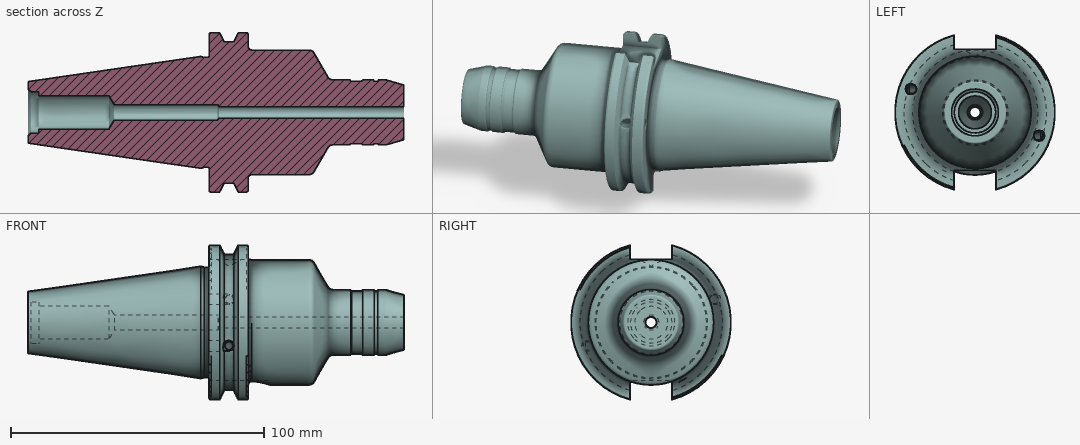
import cadquery as cq
import math


gauge_dia = 44.45
taper_ratio = 7 / 24
taper_length = 68.4
taper_end_round = 0.6
relief_dia = 43.6
relief_slope_length = 1.3
relief_root_radius = 0.5

flange_dia = 63.26
flange_start = 3.2
flange_end = 18.75
flange_edge_radius = 0.8
groove_dia = 56.25
groove_center = 11.1
groove_floor_width = 3.75
groove_wall_angle = 27

body_dia = 49.5
body_end = 42.6
body_root_radius = 1.3
shoulder_angle = 60
shoulder_round = 2.5
shoulder_root_radius = 2.0

nose_dia = 26.0
nose_groove_dia = 25.0
wide_groove_start = 59.15
wide_groove_end = 63.9
narrow_groove_start = 68.5
narrow_groove_end = 69.95
nose_groove_radius = 0.5
nose_taper_start = 72.9
nose_taper_angle = 16
nose_end = 80.35
nose_end_round = 0.8

bore_mouth_dia = 18.5
bore_mouth_depth = 1.2
pilot_dia = 16.3
pilot_depth = 4.3
thread_bore_dia = 13.0
thread_bore_depth = 32.0
drill_point_angle = 118
middle_bore_dia = 6.0
middle_bore_depth = 75.0
through_dia = 4.3

slot_width = 16.4
top_slot_floor = 25.0
bottom_slot_floor = 22.8
slot_end = 27.4
dimple_dia = 9.53
dimple_point_angle = 120

coolant_angle = 20
coolant_circle_radius = 27.0
coolant_dia = 4.2
coolant_depth = 8.0
set_screw_dia = 4.0
set_screw_tip_dia = 3.24
set_screw_step_y = 25.9
set_screw_bottom_y = 23.2

shank_end = -taper_length
nose_radius = nose_dia / 2
body_radius = body_dia / 2
flange_radius = flange_dia / 2


def revolve_about_x(profile):
    return profile.close().revolve(360, (0, 0, 0), (1, 0, 0))


def make_shank():
    small_radius = gauge_dia / 2 - taper_length * taper_ratio / 2
    relief_radius = relief_dia / 2
    root = relief_root_radius
    profile = (
        cq.Workplane("XY")
        .moveTo(shank_end, 0)
        .lineTo(shank_end, small_radius - taper_end_round)
        .radiusArc(
            (shank_end + taper_end_round, small_radius + taper_end_round * taper_ratio / 2),
            taper_end_round,
        )
        .lineTo(0, gauge_dia / 2)
        .lineTo(relief_slope_length, relief_radius)
        .lineTo(flange_start - root, relief_radius)
        .radiusArc((flange_start, relief_radius + root), -root)
        .lineTo(flange_start, 0)
    )
    return revolve_about_x(profile)


def make_flange():
    edge = flange_edge_radius
    groove_radius = groove_dia / 2
    half_floor = groove_floor_width / 2
    wall_run = (flange_radius - groove_radius) * math.tan(math.radians(groove_wall_angle))
    half_mouth = half_floor + wall_run
    profile = (
        cq.Workplane("XY")
        .moveTo(flange_start, 0)
        .lineTo(flange_start, flange_radius - edge)
        .radiusArc((flange_start + edge, flange_radius), edge)
        .lineTo(groove_center - half_mouth, flange_radius)
        .lineTo(groove_center - half_floor, groove_radius)
        .lineTo(groove_center + half_floor, groove_radius)
        .lineTo(groove_center + half_mouth, flange_radius)
        .lineTo(flange_end - edge, flange_radius)
        .radiusArc((flange_end, flange_radius - edge), edge)
        .lineTo(flange_end, 0)
    )
    return revolve_about_x(profile)


def make_body():
    slope = math.radians(shoulder_angle)
    round_run = shoulder_round * math.sin(slope)
    round_drop = shoulder_round * (1 - math.cos(slope))
    root_run = shoulder_root_radius * math.sin(slope)
    root_drop = shoulder_root_radius * (1 - math.cos(slope))
    cone_top = body_radius - round_drop
    cone_foot = nose_radius + root_drop
    cone_start = body_end + round_run
    cone_end = cone_start + (cone_top - cone_foot) / math.tan(slope)
    neck_start = cone_end + root_run

    taper_angle = math.radians(nose_taper_angle)
    tip_radius = nose_radius - (nose_end - nose_taper_start) * math.tan(taper_angle)
    root = body_root_radius
    profile = (
        cq.Workplane("XY")
        .moveTo(flange_end, 0)
        .lineTo(flange_end, body_radius + root)
        .radiusArc((flange_end + root, body_radius), -root)
        .lineTo(body_end, body_radius)
        .radiusArc((cone_start, cone_top), shoulder_round)
        .lineTo(cone_end, cone_foot)
        .radiusArc((neck_start, nose_radius), -shoulder_root_radius)
        .lineTo(nose_taper_start, nose_radius)
        .lineTo(nose_end, tip_radius)
        .lineTo(nose_end, 0)
    )
    return revolve_about_x(profile).faces(">X").edges().fillet(nose_end_round)


def nose_groove(start, end, root_radius):
    """Ring cutter with rounded mouth edges and optional root fillets."""
    floor = nose_groove_dia / 2
    edge = nose_groove_radius
    profile = (
        cq.Workplane("XY")
        .moveTo(start - edge, nose_radius)
        .radiusArc((start, nose_radius - edge), edge)
    )
    if root_radius > 0:
        profile = (
            profile.radiusArc((start + root_radius, floor), -root_radius)
            .lineTo(end - root_radius, floor)
            .radiusArc((end, floor + root_radius), -root_radius)
        )
    else:
        profile = profile.lineTo(end, floor)
    profile = (
        profile.radiusArc((end + edge, nose_radius), edge)
        .lineTo(end + edge, nose_radius + edge)
        .lineTo(start - edge, nose_radius + edge)
    )
    return revolve_about_x(profile)


def stepped_bore():
    point_slope = math.tan(math.radians(drill_point_angle / 2))
    point_length = (thread_bore_dia - middle_bore_dia) / 2 / point_slope
    step_length = (middle_bore_dia - through_dia) / 2 / point_slope
    thread_end = shank_end + thread_bore_depth
    middle_end = shank_end + middle_bore_depth
    profile = (
        cq.Workplane("XY")
        .moveTo(shank_end, 0)
        .lineTo(shank_end, bore_mouth_dia / 2)
        .lineTo(shank_end + bore_mouth_depth, pilot_dia / 2)
        .lineTo(shank_end + pilot_depth, pilot_dia / 2)
        .lineTo(shank_end + pilot_depth, thread_bore_dia / 2)
        .lineTo(thread_end, thread_bore_dia / 2)
        .lineTo(thread_end + point_length, middle_bore_dia / 2)
        .lineTo(middle_end, middle_bore_dia / 2)
        .lineTo(middle_end + step_length, through_dia / 2)
        .lineTo(nose_end, through_dia / 2)
        .lineTo(nose_end, 0)
    )
    return revolve_about_x(profile)


def driving_slot(floor):
    """Slot cutter on the +Z side, open to -X, with a half-round end towards +X."""
    half_width = slot_width / 2
    straight_end = slot_end - half_width
    profile = (
        cq.Workplane("XY", origin=(0, 0, floor))
        .moveTo(flange_start, -half_width)
        .lineTo(straight_end, -half_width)
        .threePointArc((slot_end, 0), (straight_end, half_width))
        .lineTo(flange_start, half_width)
        .close()
    )
    return profile.extrude(flange_radius - floor)


def slot_dimple():
    radius = dimple_dia / 2
    depth = radius / math.tan(math.radians(dimple_point_angle / 2))
    cone = cq.Solid.makeCone(
        radius, 0, depth, cq.Vector(groove_center, 0, top_slot_floor), cq.Vector(0, 0, -1)
    )
    return cq.Workplane(cone)


def coolant_holes():
    """Axial hole in the flange face, met by a stepped set-screw hole along Y, on the +Y side."""
    angle = math.radians(coolant_angle)
    hole_y = coolant_circle_radius * math.cos(angle)
    hole_z = coolant_circle_radius * math.sin(angle)
    inward = cq.Vector(0, -1, 0)
    axial = cq.Solid.makeCylinder(
        coolant_dia / 2, coolant_depth, cq.Vector(flange_start, hole_y, hole_z), cq.Vector(1, 0, 0)
    )
    screw_mouth = cq.Vector(groove_center, flange_radius, hole_z)
    screw = cq.Solid.makeCylinder(
        set_screw_dia / 2, flange_radius - set_screw_step_y, screw_mouth, inward
    )
    tip = cq.Solid.makeCylinder(
        set_screw_tip_dia / 2, flange_radius - set_screw_bottom_y, screw_mouth, inward
    )
    return cq.Workplane(axial).union(cq.Workplane(screw)).union(cq.Workplane(tip))


result = make_shank().union(make_flange()).union(make_body())
result = result.cut(nose_groove(wide_groove_start, wide_groove_end, nose_groove_radius))
result = result.cut(nose_groove(narrow_groove_start, narrow_groove_end, 0))
result = result.cut(stepped_bore())
result = result.cut(driving_slot(top_slot_floor))
result = result.cut(driving_slot(bottom_slot_floor).rotate((0, 0, 0), (1, 0, 0), 180))
result = result.cut(slot_dimple())
for side_angle in (0, 180):
    holes = coolant_holes().rotate((0, 0, 0), (1, 0, 0), side_angle)
    result = result.cut(holes)